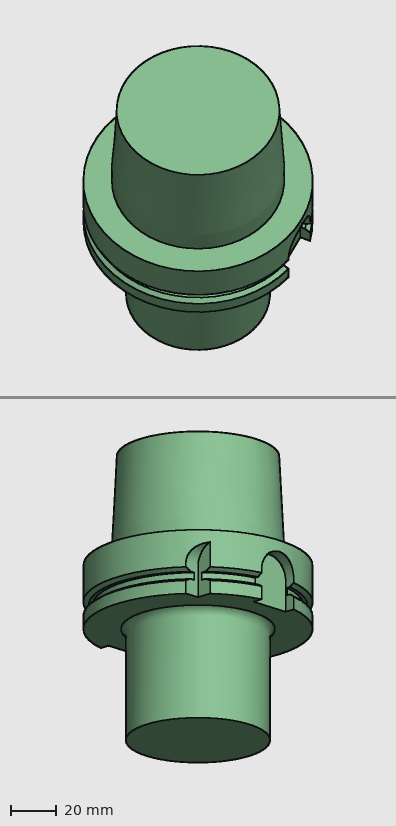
import cadquery as cq
import math

total_height = 130.0
shank_radius = 31.5
flare_start_z = 46.9
flare_width = 2.1

flange_radius = 49.98
flange_bottom_z = 51.0
flange_top_z = 80.1
groove_center_z = 60.0
groove_root_radius = 46.0
groove_bevel_radius = 47.7
groove_root_width = 3.4
groove_mouth_width = 6.2

body_radius = 37.6
taper_start_z = 90.0
body_top_radius = 35.5

slot_width = 19.8
wide_slot_width = 22.0
slot_center_z = 65.0
slot_floor_distance = 44.1

notch_wall_x = -31.3
notch_floor_y = 31.5


def revolved_body():
    """Full turned profile, revolved about Z."""
    flare_height = flange_bottom_z - flare_start_z
    flare_arc_radius = (flare_height**2 + flare_width**2) / (2 * flare_width)
    half_angle = math.asin(flare_height / flare_arc_radius) / 2
    flare_mid = (
        shank_radius + flare_arc_radius * (1 - math.cos(half_angle)),
        flare_start_z + flare_arc_radius * math.sin(half_angle),
    )
    half_root = groove_root_width / 2
    half_mouth = groove_mouth_width / 2
    return (
        cq.Workplane("XZ")
        .lineTo(shank_radius, 0)
        .lineTo(shank_radius, flare_start_z)
        .threePointArc(flare_mid, (shank_radius + flare_width, flange_bottom_z))
        .lineTo(flange_radius, flange_bottom_z)
        .lineTo(flange_radius, groove_center_z - half_mouth)
        .lineTo(groove_bevel_radius, groove_center_z - half_root)
        .lineTo(groove_root_radius, groove_center_z - half_root)
        .lineTo(groove_root_radius, groove_center_z + half_root)
        .lineTo(groove_bevel_radius, groove_center_z + half_root)
        .lineTo(flange_radius, groove_center_z + half_mouth)
        .lineTo(flange_radius, flange_top_z)
        .lineTo(body_radius, flange_top_z)
        .lineTo(body_radius, taper_start_z)
        .lineTo(body_top_radius, total_height)
        .lineTo(0, total_height)
        .close()
        .revolve(360, (0, 0, 0), (0, 1, 0))
    )


def slot_cutter(width, floor_distance, center_x=0):
    """Round-topped slot, open below the flange, cut along +Y outward from its floor."""
    radius = width / 2
    return (
        cq.Workplane("XZ", origin=(center_x, floor_distance, 0))
        .moveTo(-radius, flange_bottom_z)
        .lineTo(-radius, slot_center_z)
        .threePointArc((0, slot_center_z + radius), (radius, slot_center_z))
        .lineTo(radius, flange_bottom_z)
        .close()
        .extrude(-flange_radius)
    )


result = revolved_body()

for width, angle in ((slot_width, 90), (wide_slot_width, -90)):
    drive_slot = slot_cutter(width, slot_floor_distance)
    result = result.cut(drive_slot.rotate((0, 0, 0), (0, 0, 1), angle))

result = result.cut(slot_cutter(slot_width, notch_floor_y, notch_wall_x - slot_width / 2))